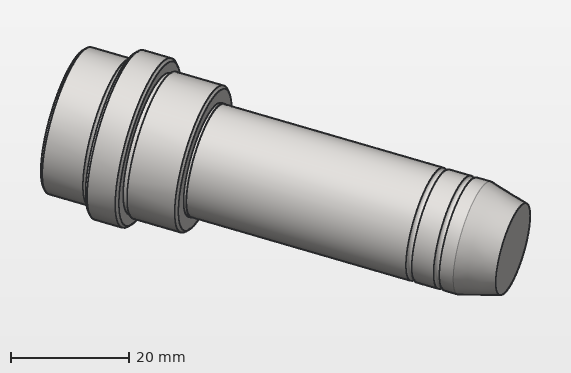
import cadquery as cq
import math

total_length = 81.0
rear_land_end = 7.85
flange_start = 8.9
flange_end = 15.0
front_land_start = 15.9
head_end = 25.0
collar_end = 25.5
taper_start = 73.95

head_radius = 26.0 / 2
flange_radius = 30.0 / 2
relief_depth = 0.5
relief_radius = head_radius - relief_depth
shaft_radius = 20.0 / 2
collar_height = 0.1
collar_radius = shaft_radius + collar_height
taper_angle = 15.0
tip_radius = shaft_radius - (total_length - taper_start) * math.tan(math.radians(taper_angle))

edge_chamfer = 0.5

groove_centers = (65.9, 70.95)
groove_width = 1.05
groove_depth = 0.3


def relief_midpoint(flange_face, land_edge):
    """Middle point of a relief arc, which is level at the flange and rises to the land."""
    run = land_edge - flange_face
    arc_radius = (run**2 + relief_depth**2) / (2 * relief_depth)
    half_angle = math.asin(abs(run) / arc_radius) / 2
    x = flange_face + math.copysign(arc_radius * math.sin(half_angle), run)
    return x, relief_radius + arc_radius * (1 - math.cos(half_angle))


def make_body():
    """Revolve the stepped half outline about the X axis."""
    outline = (
        cq.Workplane("XY")
        .lineTo(0, head_radius - edge_chamfer)
        .lineTo(edge_chamfer, head_radius)
        .lineTo(rear_land_end, head_radius)
        .threePointArc(relief_midpoint(flange_start, rear_land_end), (flange_start, relief_radius))
        .lineTo(flange_start, flange_radius - edge_chamfer)
        .lineTo(flange_start + edge_chamfer, flange_radius)
        .lineTo(flange_end - edge_chamfer, flange_radius)
        .lineTo(flange_end, flange_radius - edge_chamfer)
        .lineTo(flange_end, relief_radius)
        .threePointArc(relief_midpoint(flange_end, front_land_start), (front_land_start, head_radius))
        .lineTo(head_end - edge_chamfer, head_radius)
        .lineTo(head_end, head_radius - edge_chamfer)
        .lineTo(head_end, collar_radius)
        .lineTo(collar_end, collar_radius)
        .lineTo(collar_end, shaft_radius)
    )
    for center in groove_centers:
        outline = outline.lineTo(center - groove_width / 2, shaft_radius).threePointArc(
            (center, shaft_radius - groove_depth),
            (center + groove_width / 2, shaft_radius),
        )
    outline = (
        outline.lineTo(taper_start, shaft_radius)
        .lineTo(total_length, tip_radius)
        .lineTo(total_length, 0)
        .close()
    )
    return outline.revolve(360, (0, 0, 0), (1, 0, 0))


result = make_body()